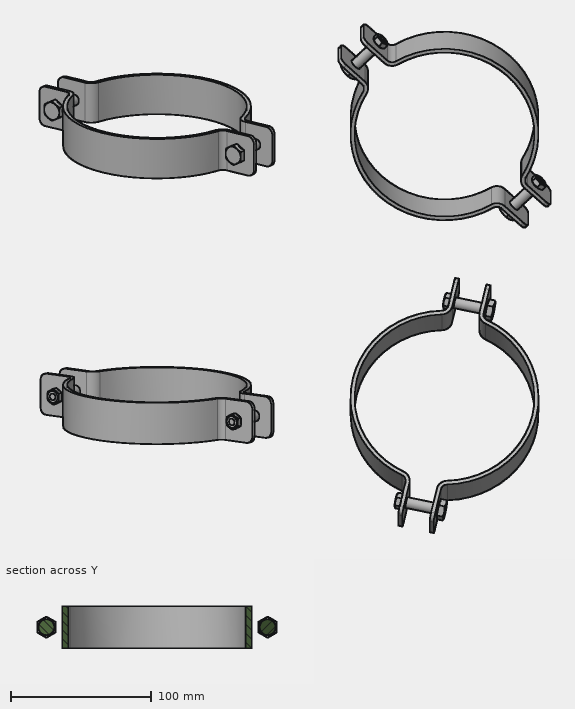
import cadquery as cq
import math


overall_length = 186.5
ring_diameter = 134.0
strap_width = 30.0
strap_thickness = 3.0
lug_gap = 20.0
bend_radius = 4.8
lug_corner_radius = 5.0

bolt_spacing = 157.7
shank_diameter = 8.0
thread_diameter = 4.8
head_across_flats = 13.0
head_height = 5.2
washer_face_diameter = 11.5
washer_face_height = 0.5
nut_across_flats = 10.0
nut_height = 5.0
nut_face_diameter = 8.5
corner_chamfer_angle = 30.0
hex_sides = 6

ring_radius = ring_diameter / 2
lug_inner_y = lug_gap / 2
lug_outer_y = lug_inner_y + strap_thickness
lug_end_x = overall_length / 2
bolt_x = bolt_spacing / 2

bend_y = lug_outer_y + bend_radius
bend_x = math.sqrt((ring_radius + bend_radius) ** 2 - bend_y ** 2)
bend_angle = math.atan2(bend_y, bend_x)


def polar(center, radius, angle):
    """Point at a radius and an angle (radians) from a center in the XY plane."""
    return (center[0] + radius * math.cos(angle), center[1] + radius * math.sin(angle))


def mirrored(point):
    """The same point on the -X side."""
    return (-point[0], point[1])


def make_strap():
    """Half strap on the +Y side: half ring, two bends and two drilled lugs."""
    inner_radius = ring_radius - strap_thickness
    outer_bend_radius = bend_radius + strap_thickness
    bend_center = (bend_x, bend_y)
    bend_start = 1.5 * math.pi
    bend_end = math.pi + bend_angle
    bend_middle = (bend_start + bend_end) / 2

    ring_outer = polar((0, 0), ring_radius, bend_angle)
    ring_inner = polar((0, 0), inner_radius, bend_angle)
    outer_middle = polar(bend_center, bend_radius, bend_middle)
    inner_middle = polar(bend_center, outer_bend_radius, bend_middle)

    strap = (
        cq.Workplane("XY")
        .workplane(offset=-strap_width / 2)
        .moveTo(lug_end_x, lug_inner_y)
        .lineTo(lug_end_x, lug_outer_y)
        .lineTo(bend_x, lug_outer_y)
        .threePointArc(outer_middle, ring_outer)
        .threePointArc((0, ring_radius), mirrored(ring_outer))
        .threePointArc(mirrored(outer_middle), (-bend_x, lug_outer_y))
        .lineTo(-lug_end_x, lug_outer_y)
        .lineTo(-lug_end_x, lug_inner_y)
        .lineTo(-bend_x, lug_inner_y)
        .threePointArc(mirrored(inner_middle), mirrored(ring_inner))
        .threePointArc((0, inner_radius), ring_inner)
        .threePointArc(inner_middle, (bend_x, lug_inner_y))
        .close()
        .extrude(strap_width)
    )
    strap = strap.edges("|Y").fillet(lug_corner_radius)

    for x in (-bolt_x, bolt_x):
        strap = strap.cut(cylinder_along_y(x, lug_inner_y, lug_outer_y, shank_diameter))
    return strap


def cylinder_along_y(x, start_y, end_y, diameter):
    """Cylinder parallel to Y between two Y positions."""
    base = cq.Plane(origin=(x, start_y, 0), xDir=(1, 0, 0), normal=(0, 1, 0))
    return cq.Workplane(base).circle(diameter / 2).extrude(end_y - start_y)


def hexagon_along_y(x, start_y, end_y, across_flats):
    """Hexagonal prism along Y with two corners on the Z axis."""
    across_corners = across_flats / math.cos(math.pi / hex_sides)
    base = cq.Plane(origin=(x, start_y, 0), xDir=(0, 0, 1), normal=(0, 1, 0))
    return cq.Workplane(base).polygon(hex_sides, across_corners).extrude(end_y - start_y)


def chamfer_corners(hexagon, x, face_y, outward, face_diameter, length):
    """Trim the corners with a cone that leaves a round flat at face_y."""
    slope = math.tan(math.radians(corner_chamfer_angle))
    face_radius = face_diameter / 2
    cone = (
        cq.Workplane("XY")
        .moveTo(0, face_y)
        .lineTo(face_radius, face_y)
        .lineTo(face_radius + length / slope, face_y - outward * length)
        .lineTo(0, face_y - outward * length)
        .close()
        .revolve(360, (0, 0, 0), (0, 1, 0))
        .translate((x, 0, 0))
    )
    return hexagon.intersect(cone)


def make_bolt(x):
    """Bolt with its head on the -Y lug and a reduced thread inside the nut."""
    washer_face_y = -lug_outer_y - washer_face_height
    head_end_y = -lug_outer_y - head_height
    head = hexagon_along_y(x, head_end_y, washer_face_y, head_across_flats)
    head = chamfer_corners(head, x, head_end_y, -1, head_across_flats, head_height)
    washer_face = cylinder_along_y(x, washer_face_y, -lug_outer_y, washer_face_diameter)
    shank = cylinder_along_y(x, -lug_outer_y, lug_outer_y, shank_diameter)
    thread = cylinder_along_y(x, lug_outer_y, lug_outer_y + nut_height, thread_diameter)
    return head.union(washer_face).union(shank).union(thread)


def make_nut(x):
    """Nut against the +Y lug, chamfered at both ends."""
    nut_end_y = lug_outer_y + nut_height
    nut = hexagon_along_y(x, lug_outer_y, nut_end_y, nut_across_flats)
    nut = chamfer_corners(nut, x, nut_end_y, 1, nut_face_diameter, nut_height)
    nut = chamfer_corners(nut, x, lug_outer_y, -1, nut_face_diameter, nut_height)
    return nut.cut(cylinder_along_y(x, lug_outer_y, nut_end_y, thread_diameter))


rear_strap = make_strap()
front_strap = rear_strap.mirror("XZ")
bolts = [make_bolt(x).val() for x in (-bolt_x, bolt_x)]
nuts = [make_nut(x).val() for x in (-bolt_x, bolt_x)]

result = cq.Compound.makeCompound([rear_strap.val(), front_strap.val(), *bolts, *nuts])